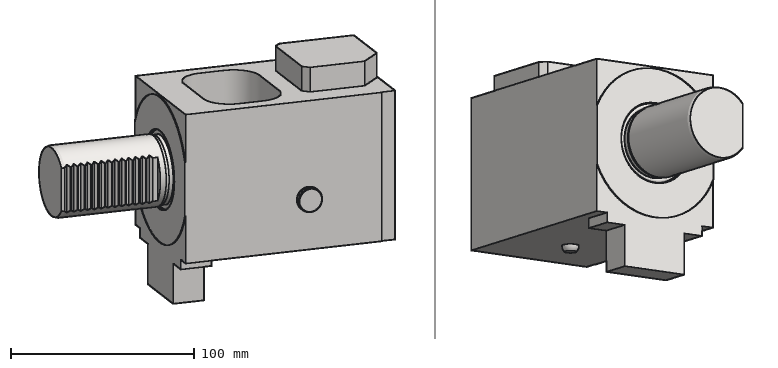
import cadquery as cq
import math


BODY_HALF_WIDTH = 38.0
BODY_HALF_HEIGHT = 42.5
BODY_BACK_Y = 123.0
FLANGE_DIAMETER = 83.0
FLANGE_PROUD = 0.5
SIDE_PANEL_THICKNESS = 0.5
SIDE_PANEL_BACK_Y = 115.0
SIDE_X = BODY_HALF_WIDTH + SIDE_PANEL_THICKNESS
BODY_FRONT_Y = FLANGE_PROUD

SHANK_DIAMETER = 40.0
SHANK_LENGTH = 63.0
SHANK_TIP_CHAMFER = 0.55
SHANK_TIP_CHAMFER_LENGTH = 1.9
NECK_DIAMETER = 38.7
NECK_END = 1.8
LEAD_IN_END = 3.7
SEAL_RECESS_DIAMETER = 44.0
SEAL_RECESS_DEPTH = 1.4
SEAL_RECESS_CHAMFER = 0.4
SEAL_SECTION_DIAMETER = 2.5

FLAT_X = 15.7
FLAT_START = 7.1
TOOTH_PITCH = 4.0
TOOTH_DEPTH = 1.1
NOTCH_HALF_WIDTH = 1.65
NOTCH_COUNT = 13
FIRST_NOTCH = 11.65

PAD_SIDE = 47.0
PAD_CENTER_X = 0.2
PAD_BACK_GAP = 0.75
PAD_BACK_Y = BODY_BACK_Y - PAD_BACK_GAP
PAD_HEIGHT = 14.0
PAD_CORNER_CUT = 11.7
PAD_CHAMFER = 3.5

POCKET_LENGTH = 60.0
POCKET_WIDTH = 44.0
POCKET_CENTER_Y = 42.0
POCKET_RADIUS = 15.0
POCKET_DEPTH = 22.0

LUG_LENGTH = 18.0
LUG_SHOULDER_WIDTH = 62.4
LUG_SHOULDER_HEIGHT = 5.5
LUG_WIDTH = 39.2
LUG_HEIGHT = 28.5

PLUG_DIAMETER = 13.8
PLUG_LENGTH = 3.65
PLUG_CHAMFER = 0.4
PLUG_Y = 72.1
PLUG_Z = -13.3
NOZZLE_BALL_RADIUS = 4.65
NOZZLE_TIP_DIAMETER = 6.37
NOZZLE_Y = 82.5


def box(x_range, y_range, z_range):
    size = [high - low for low, high in (x_range, y_range, z_range)]
    corner = (x_range[0], y_range[0], z_range[0])
    return cq.Workplane("XY").box(*size, centered=False).translate(corner)


def make_body():
    z_range = (-BODY_HALF_HEIGHT, BODY_HALF_HEIGHT)
    block = box((-BODY_HALF_WIDTH, BODY_HALF_WIDTH), (BODY_FRONT_Y, BODY_BACK_Y), z_range)
    panel = box((0, SIDE_X), (BODY_FRONT_Y, SIDE_PANEL_BACK_Y), z_range)
    flange = cq.Workplane("XZ").circle(FLANGE_DIAMETER / 2).extrude(-LUG_LENGTH)
    flange = flange.intersect(box((-BODY_HALF_WIDTH, SIDE_X), (0, LUG_LENGTH), z_range))
    return block.union(panel).union(flange)


def make_seal_recess():
    """Ring-shaped recess around the shank neck, with a chamfered mouth and a sealing ring on its floor."""
    radius = SEAL_RECESS_DIAMETER / 2
    neck_radius = NECK_DIAMETER / 2
    seal_radius = SEAL_SECTION_DIAMETER / 2
    seal_center = (radius + neck_radius) / 2
    return (
        cq.Workplane("XY")
        .moveTo(0, 0)
        .lineTo(radius + SEAL_RECESS_CHAMFER, 0)
        .lineTo(radius, SEAL_RECESS_CHAMFER)
        .lineTo(radius, SEAL_RECESS_DEPTH)
        .lineTo(seal_center + seal_radius, SEAL_RECESS_DEPTH)
        .threePointArc(
            (seal_center, SEAL_RECESS_DEPTH - seal_radius),
            (seal_center - seal_radius, SEAL_RECESS_DEPTH),
        )
        .lineTo(0, SEAL_RECESS_DEPTH)
        .close()
        .revolve(360, (0, 0), (0, 1))
    )


def make_shank():
    radius = SHANK_DIAMETER / 2
    neck_radius = NECK_DIAMETER / 2
    return (
        cq.Workplane("XY")
        .moveTo(0, SEAL_RECESS_DEPTH)
        .lineTo(neck_radius, SEAL_RECESS_DEPTH)
        .lineTo(neck_radius, -NECK_END)
        .lineTo(radius, -LEAD_IN_END)
        .lineTo(radius, -SHANK_LENGTH + SHANK_TIP_CHAMFER_LENGTH)
        .lineTo(radius - SHANK_TIP_CHAMFER, -SHANK_LENGTH)
        .lineTo(0, -SHANK_LENGTH)
        .close()
        .revolve(360, (0, 0), (0, 1))
    )


def cut_toothed_flat(shank):
    """Flat on the +X side with its tip bevelled like the rim, crossed by a row of V notches."""
    half = SHANK_DIAMETER / 2
    flat = (
        cq.Workplane("XY")
        .polyline(
            [
                (half, -FLAT_START),
                (FLAT_X, -FLAT_START),
                (FLAT_X, -SHANK_LENGTH + SHANK_TIP_CHAMFER_LENGTH),
                (FLAT_X - SHANK_TIP_CHAMFER, -SHANK_LENGTH),
                (half, -SHANK_LENGTH),
            ]
        )
        .close()
        .extrude(half, both=True)
    )
    shank = shank.cut(flat)
    for index in range(NOTCH_COUNT):
        y = -FIRST_NOTCH - index * TOOTH_PITCH
        notch = (
            cq.Workplane("XY", origin=(FLAT_X, y, 0))
            .polyline([(0, NOTCH_HALF_WIDTH), (-TOOTH_DEPTH, 0), (0, -NOTCH_HALF_WIDTH)])
            .close()
            .extrude(half, both=True)
        )
        shank = shank.cut(notch)
    return shank


def make_pad():
    left = PAD_CENTER_X - PAD_SIDE / 2
    right = left + PAD_SIDE
    front = PAD_BACK_Y - PAD_SIDE
    outline = [
        (left, PAD_BACK_Y),
        (right - PAD_CORNER_CUT, PAD_BACK_Y),
        (right, PAD_BACK_Y - PAD_CORNER_CUT),
        (right, front + PAD_CHAMFER),
        (right - PAD_CHAMFER, front),
        (left + PAD_CHAMFER, front),
        (left, front + PAD_CHAMFER),
    ]
    top = cq.Workplane("XY", origin=(0, 0, BODY_HALF_HEIGHT))
    return top.polyline(outline).close().extrude(PAD_HEIGHT)


def make_pocket():
    return (
        cq.Workplane("XY", origin=(0, POCKET_CENTER_Y, BODY_HALF_HEIGHT))
        .rect(POCKET_LENGTH, POCKET_WIDTH)
        .extrude(-POCKET_DEPTH)
        .edges("|Z")
        .fillet(POCKET_RADIUS)
    )


def make_lug():
    y_range = (BODY_FRONT_Y, BODY_FRONT_Y + LUG_LENGTH)
    top = -BODY_HALF_HEIGHT
    shoulder = box(
        (-LUG_SHOULDER_WIDTH / 2, LUG_SHOULDER_WIDTH / 2), y_range, (top - LUG_SHOULDER_HEIGHT, top)
    )
    tongue = box((-LUG_WIDTH / 2, LUG_WIDTH / 2), y_range, (top - LUG_HEIGHT, top))
    return shoulder.union(tongue)


def make_plug():
    return (
        cq.Workplane("YZ", origin=(SIDE_X, PLUG_Y, PLUG_Z))
        .circle(PLUG_DIAMETER / 2)
        .extrude(PLUG_LENGTH)
        .edges("%CIRCLE")
        .chamfer(PLUG_CHAMFER)
    )


def make_nozzle():
    """Ball centred on the bottom face and cut flat at its tip."""
    tip_depth = math.sqrt(NOZZLE_BALL_RADIUS**2 - (NOZZLE_TIP_DIAMETER / 2) ** 2)
    ball = cq.Workplane("XY").sphere(NOZZLE_BALL_RADIUS)
    reach = (-NOZZLE_BALL_RADIUS, NOZZLE_BALL_RADIUS)
    cut_ball = ball.intersect(box(reach, reach, (-tip_depth, NOZZLE_BALL_RADIUS)))
    return cut_ball.translate((0, NOZZLE_Y, -BODY_HALF_HEIGHT))


result = (
    make_body()
    .cut(make_seal_recess())
    .cut(make_pocket())
    .union(cut_toothed_flat(make_shank()))
    .union(make_pad())
    .union(make_lug())
    .union(make_plug())
    .union(make_nozzle())
)